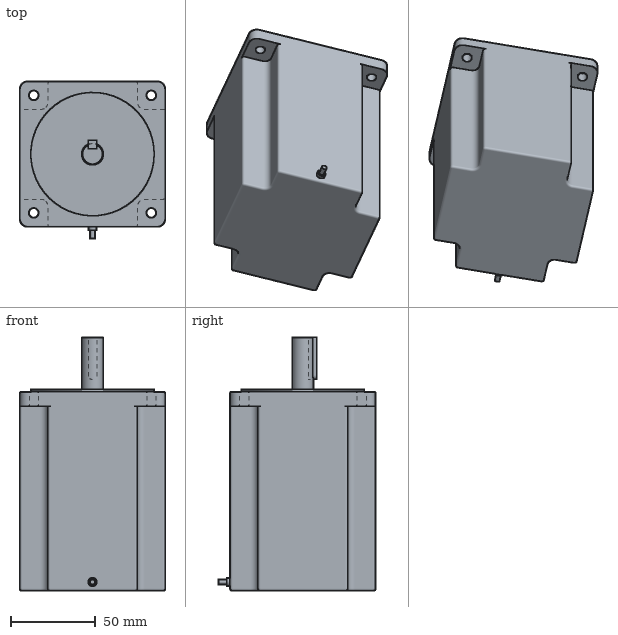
import cadquery as cq

TOTAL_HEIGHT = 150.0
SHAFT_LENGTH = 30.9
PILOT_HEIGHT = 1.5
FLANGE_THICKNESS = 8.4
PILOT_TOP = TOTAL_HEIGHT - SHAFT_LENGTH
FLANGE_TOP = PILOT_TOP - PILOT_HEIGHT
FLANGE_BOTTOM = FLANGE_TOP - FLANGE_THICKNESS

FLANGE_WIDTH = 86.1
FLANGE_CORNER_RADIUS = 5.0
FLANGE_TOP_RADIUS = 0.9
PILOT_DIAMETER = 72.9
HOLE_DIAMETER = 5.5
HOLE_SPACING = 69.5

NOTCH_DEPTH = 16.5
NOTCH_INNER_RADIUS = 4.0
NOTCH_OUTER_RADIUS = 1.5
HOUSING_BOTTOM_RADIUS = 1.4

SHAFT_DIAMETER = 12.8
SHAFT_CHAMFER = 0.5

KEY_WIDTH = 5.0
KEY_LENGTH = 25.0
KEY_OUTER_Y = 8.2
KEY_INNER_Y = KEY_OUTER_Y - KEY_WIDTH

CABLE_HEIGHT = 5.2
CABLE_DIAMETER = 3.0
CABLE_LENGTH = 6.9
SLEEVE_DIAMETER = 5.0
SLEEVE_LENGTH = 2.0


def round_vertical_edge(column, edge_position, radius):
    """Fillet the vertical housing edge that stands at the given (x, y)."""
    x, y = edge_position
    edge_middle = (x, y, FLANGE_BOTTOM / 2)
    nearest_edge = cq.selectors.NearestToPointSelector(edge_middle)
    return column.edges("|Z").edges(nearest_edge).fillet(radius)


def make_housing():
    """Square column with a filleted notch along each vertical corner and a rounded bottom rim."""
    half_width = FLANGE_WIDTH / 2
    notch_wall = half_width - NOTCH_DEPTH
    column = (
        cq.Workplane("XY")
        .rect(FLANGE_WIDTH, 2 * notch_wall)
        .extrude(FLANGE_BOTTOM)
        .union(cq.Workplane("XY").rect(2 * notch_wall, FLANGE_WIDTH).extrude(FLANGE_BOTTOM))
    )
    for side_x in (-1, 1):
        for side_y in (-1, 1):
            inner_corner = (side_x * notch_wall, side_y * notch_wall)
            lip_beside_x_face = (side_x * half_width, side_y * notch_wall)
            lip_beside_y_face = (side_x * notch_wall, side_y * half_width)
            column = round_vertical_edge(column, inner_corner, NOTCH_INNER_RADIUS)
            column = round_vertical_edge(column, lip_beside_x_face, NOTCH_OUTER_RADIUS)
            column = round_vertical_edge(column, lip_beside_y_face, NOTCH_OUTER_RADIUS)
    return column.faces("<Z").fillet(HOUSING_BOTTOM_RADIUS)


def make_flange():
    """Mounting plate with rounded corners, a rounded top rim and four screw holes."""
    return (
        cq.Workplane("XY", origin=(0, 0, FLANGE_BOTTOM))
        .rect(FLANGE_WIDTH, FLANGE_WIDTH)
        .extrude(FLANGE_THICKNESS)
        .edges("|Z")
        .fillet(FLANGE_CORNER_RADIUS)
        .faces(">Z")
        .fillet(FLANGE_TOP_RADIUS)
        .faces(">Z")
        .workplane()
        .rect(HOLE_SPACING, HOLE_SPACING, forConstruction=True)
        .vertices()
        .hole(HOLE_DIAMETER)
    )


def make_pilot():
    """Low round boss that centres the motor on its mount."""
    return (
        cq.Workplane("XY", origin=(0, 0, FLANGE_TOP))
        .circle(PILOT_DIAMETER / 2)
        .extrude(PILOT_HEIGHT)
    )


def make_shaft():
    """Output shaft with a chamfered end."""
    return (
        cq.Workplane("XY", origin=(0, 0, PILOT_TOP))
        .circle(SHAFT_DIAMETER / 2)
        .extrude(SHAFT_LENGTH)
        .faces(">Z")
        .chamfer(SHAFT_CHAMFER)
    )


def make_cable():
    """Round cable leaving the housing through a short sleeve."""
    housing_face = cq.Workplane("XZ", origin=(0, -FLANGE_WIDTH / 2, CABLE_HEIGHT))
    sleeve = housing_face.circle(SLEEVE_DIAMETER / 2).extrude(SLEEVE_LENGTH)
    cable = housing_face.circle(CABLE_DIAMETER / 2).extrude(CABLE_LENGTH)
    return sleeve.union(cable)


def make_key():
    """Parallel key, square at the shaft end and fully rounded at its lower end."""
    half_width = KEY_WIDTH / 2
    round_start = TOTAL_HEIGHT - KEY_LENGTH + half_width
    return (
        cq.Workplane("XZ", origin=(0, KEY_INNER_Y, 0))
        .moveTo(-half_width, TOTAL_HEIGHT)
        .lineTo(-half_width, round_start)
        .threePointArc((0, TOTAL_HEIGHT - KEY_LENGTH), (half_width, round_start))
        .lineTo(half_width, TOTAL_HEIGHT)
        .close()
        .extrude(-KEY_WIDTH)
    )


def make_motor(key):
    """Housing, flange, pilot, shaft and cable as one solid, with a seat for the key."""
    return (
        make_housing()
        .union(make_flange())
        .union(make_pilot())
        .union(make_shaft())
        .union(make_cable())
        .cut(key)
    )


key = make_key()
motor = make_motor(key)

result = cq.Compound.makeCompound([motor.val(), key.val()])